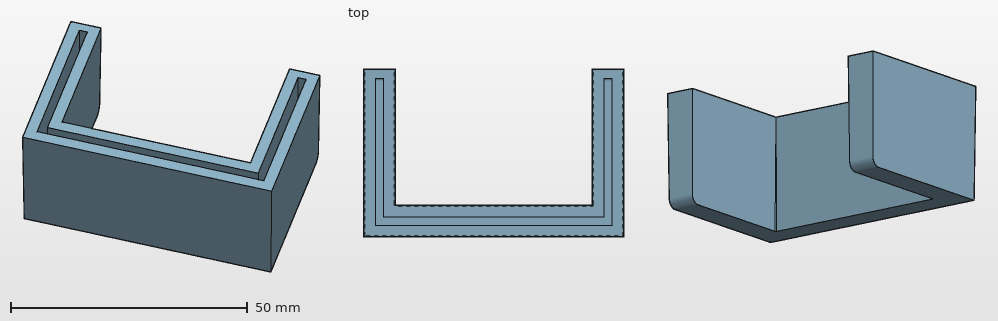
import cadquery as cq

width = 55.0
length = 35.5
height = 25.0
draft_angle = 0.6

skin_thickness = 2.5
groove_width = 1.75
wall_thickness = 2 * skin_thickness + groove_width
groove_end_margin = 2.0
groove_depth = height - skin_thickness

arm_corner_radius = 2.0
groove_corner_radius = 0.55


def u_outline(outer_inset, inner_inset, end_y):
    """U outline on the top plane, open toward +Y, inset from the outer rectangle."""
    outer_x = width / 2 - outer_inset
    inner_x = width / 2 - inner_inset
    outer_y = outer_inset - length / 2
    inner_y = inner_inset - length / 2
    return (
        cq.Workplane("XY")
        .workplane(offset=height)
        .polyline([
            (-outer_x, outer_y),
            (outer_x, outer_y),
            (outer_x, end_y),
            (inner_x, end_y),
            (inner_x, inner_y),
            (-inner_x, inner_y),
            (-inner_x, end_y),
            (-outer_x, end_y),
        ])
        .close()
    )


wall = u_outline(0, wall_thickness, length / 2).extrude(-height, taper=draft_angle)
wall = wall.faces("<Z").edges(">Y").fillet(arm_corner_radius)

groove_end_y = length / 2 - groove_end_margin
groove = u_outline(skin_thickness, skin_thickness + groove_width, groove_end_y).extrude(-groove_depth)
groove = groove.faces("<Z").edges(">Y").fillet(groove_corner_radius)

result = wall.cut(groove)